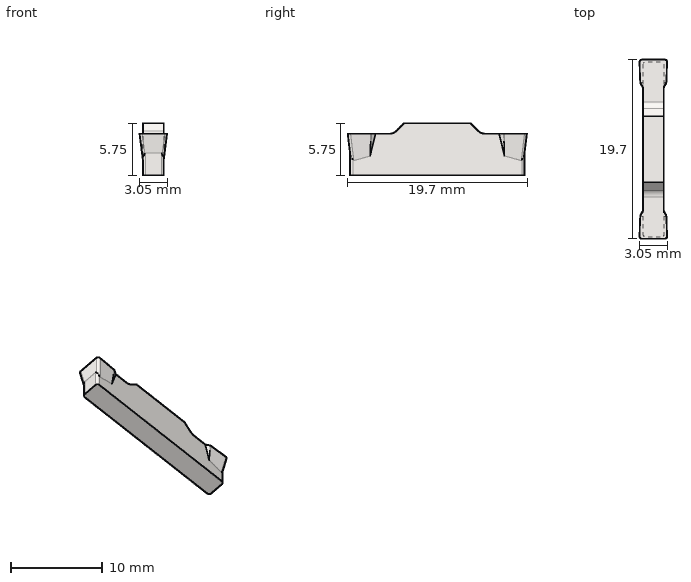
import cadquery as cq
import math

length = 19.7
head_width = 3.05
height = 5.75

body_length = 19.19
body_width = 2.3
shelf_height = 4.59
plateau_length = 7.29
ramp_angle = 45.0
ramp_fillet = 1.0
corner_radius = 0.3

relief_angle = 7.0
side_taper = 2.0
side_length = 2.56
neck_angle = 30.0
neck_radius = 0.22


def tan_deg(angle):
    return math.tan(math.radians(angle))


def make_body():
    half_length = body_length / 2
    plateau_end = plateau_length / 2
    ramp_foot = plateau_end + (height - shelf_height) / tan_deg(ramp_angle)
    profile = [
        (-half_length, 0),
        (half_length, 0),
        (half_length, shelf_height),
        (ramp_foot, shelf_height),
        (plateau_end, height),
        (-plateau_end, height),
        (-ramp_foot, shelf_height),
        (-half_length, shelf_height),
    ]
    body = cq.Workplane("YZ").polyline(profile).close().extrude(body_width / 2, both=True)
    body = body.edges("|Z").fillet(corner_radius)
    margin = 0.02
    ramp_feet = cq.selectors.BoxSelector(
        (-body_width, -ramp_foot - margin, shelf_height - margin),
        (body_width, ramp_foot + margin, shelf_height + margin),
    )
    return body.edges("|X").edges(ramp_feet).fillet(ramp_fillet)


def make_head():
    """Head at the -Y end, drawn on the shelf plane and drafted inwards going down."""
    front_x = head_width / 2 + corner_radius * tan_deg(side_taper)
    front_y = -length / 2
    neck_x = front_x - side_length * tan_deg(side_taper)
    neck_y = front_y + side_length

    side_angle = math.radians(side_taper)
    turn = math.radians(neck_angle - side_taper)
    tangent = neck_radius * math.tan(turn / 2)
    side_end = (neck_x + tangent * math.sin(side_angle), neck_y - tangent * math.cos(side_angle))
    arc_end = (
        neck_x - tangent * math.sin(math.radians(neck_angle)),
        neck_y + tangent * math.cos(math.radians(neck_angle)),
    )
    middle_angle = math.radians((neck_angle + side_taper) / 2)
    sagitta_offset = neck_radius * (1 / math.cos(turn / 2) - 1)
    arc_middle = (
        neck_x - sagitta_offset * math.cos(middle_angle),
        neck_y - sagitta_offset * math.sin(middle_angle),
    )
    tail_y = neck_y + neck_x / tan_deg(neck_angle)
    depth = (front_x - body_width / 2) / tan_deg(relief_angle)

    def mirrored(point):
        return (-point[0], point[1])

    head = (
        cq.Workplane("XY", origin=(0, 0, shelf_height))
        .moveTo(-front_x, front_y)
        .lineTo(front_x, front_y)
        .lineTo(*side_end)
        .threePointArc(arc_middle, arc_end)
        .lineTo(0, tail_y)
        .lineTo(*mirrored(arc_end))
        .threePointArc(mirrored(arc_middle), mirrored(side_end))
        .close()
        .extrude(-depth, taper=relief_angle)
    )
    front_corners = head.faces("<Y").edges("not(|X)")
    return front_corners.fillet(corner_radius)


head = make_head()
opposite_head = head.mirror("XZ")
result = make_body().union(head).union(opposite_head)